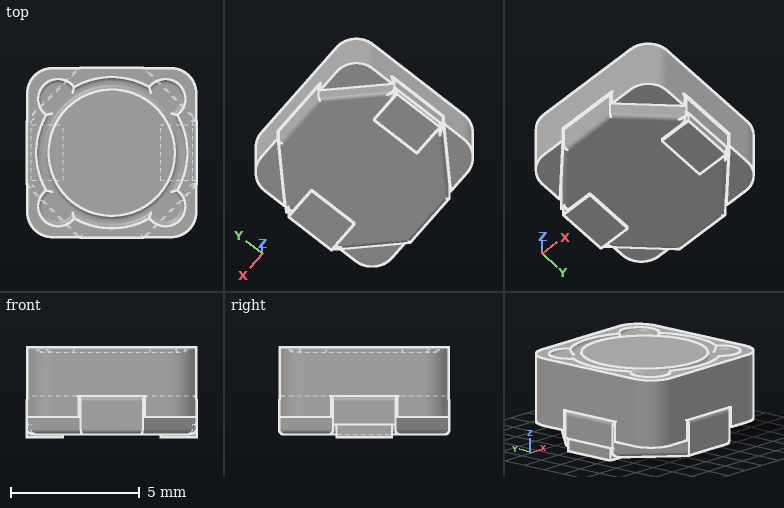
import cadquery as cq
import math

overall_size = 6.62
overall_height = 3.5
shell_size = 6.58
shell_corner_radius = 1.0
shell_bottom = 0.795
round_radius = 0.205

base_bottom = 0.1
base_top = 1.61
flat_width = 2.41
pocket_clearance = 0.05

notch_depth = 0.18
notch_top = 0.5
terminal_width = 2.17
terminal_reach = 1.41

disc_radius = 2.455
ring_radius = 2.94
corner_bowl_radius = 0.775
corner_bowl_offset = 2.085
bowl_depth = round_radius

half_size = overall_size / 2
half_flat = flat_width / 2
bowl_floor = overall_height - bowl_depth


def octagon_prism(half_across, half_side, bottom, top):
    """Square prism with 45 degree cut corners; half_side is half of each outer face."""
    cut = half_across - half_side
    return (
        cq.Workplane("XY")
        .workplane(offset=bottom)
        .rect(2 * half_across, 2 * half_across)
        .extrude(top - bottom)
        .edges("|Z")
        .chamfer(cut)
    )


def round_walled_solid(top_radius, floor_radius):
    """Solid of revolution from bowl floor to shell top, with a quarter-round wall.

    The wall flares outward to a wider top (a bowl) or outward to a wider floor (a disc's foot).
    """
    quarter_mid = math.sqrt(0.5)
    wall_middle = (
        floor_radius + (top_radius - floor_radius) * quarter_mid,
        overall_height - bowl_depth * quarter_mid,
    )
    return (
        cq.Workplane("XZ")
        .moveTo(0, bowl_floor)
        .lineTo(floor_radius, bowl_floor)
        .threePointArc(wall_middle, (top_radius, overall_height))
        .lineTo(0, overall_height)
        .close()
        .revolve(360, (0, 0, 0), (0, 1, 0))
    )


def top_recess():
    """Ring groove joined with four corner bowls, leaving the disc standing."""
    recess = round_walled_solid(ring_radius, ring_radius - bowl_depth)
    bowl = round_walled_solid(corner_bowl_radius, corner_bowl_radius - bowl_depth)
    for x_side in (-1, 1):
        for y_side in (-1, 1):
            recess = recess.union(bowl.translate((x_side * corner_bowl_offset, y_side * corner_bowl_offset, 0)))
    disc = round_walled_solid(disc_radius, disc_radius + bowl_depth)
    return recess.cut(disc)


def make_shell():
    block = (
        cq.Workplane("XY")
        .workplane(offset=shell_bottom)
        .rect(shell_size, shell_size)
        .extrude(overall_height - shell_bottom)
        .edges("|Z")
        .fillet(shell_corner_radius)
    )
    side_growth = pocket_clearance * math.sqrt(2)
    pocket = octagon_prism(half_size, half_flat + side_growth, shell_bottom, base_top)
    return block.cut(pocket).cut(top_recess())


def notch_surround():
    """Oversize block with both terminal notches, their lower rims rounded."""
    block_length = 2 * overall_size
    notch_floor = half_size - notch_depth
    notch_length = block_length / 2 - notch_floor
    block = (
        cq.Workplane("XY")
        .workplane(offset=base_bottom)
        .rect(block_length, block_length)
        .extrude(base_top - base_bottom)
    )
    for side in (-1, 1):
        notch = (
            cq.Workplane("XY")
            .workplane(offset=base_bottom)
            .center(side * (notch_floor + notch_length / 2), 0)
            .rect(notch_length, flat_width)
            .extrude(notch_top - base_bottom)
        )
        block = block.cut(notch)
    notch_rims = cq.selectors.BoxSelector(
        (-block_length, -half_flat - round_radius, base_bottom - round_radius / 2),
        (block_length, half_flat + round_radius, base_bottom + round_radius / 2),
    )
    return block.faces("<Z").edges(notch_rims).fillet(round_radius)


def make_base():
    base = octagon_prism(half_size, half_flat, base_bottom, base_top)
    base = base.faces(">Z").edges("|X or |Y").fillet(round_radius)
    base = base.faces("<Z").edges("not |Y").fillet(round_radius)
    return base.intersect(notch_surround())


def make_terminal(side):
    """L-shaped terminal: upright in the base's notch and foot under the base."""
    inner_face = half_size - notch_depth
    arc_centre_x = inner_face - round_radius
    arc_centre_z = base_bottom + round_radius
    swing = round_radius * math.sqrt(0.5)
    profile = (
        cq.Workplane("XZ")
        .moveTo(half_size, 0)
        .lineTo(half_size, notch_top)
        .lineTo(inner_face, notch_top)
        .lineTo(inner_face, arc_centre_z)
        .threePointArc((arc_centre_x + swing, arc_centre_z - swing), (arc_centre_x, base_bottom))
        .lineTo(half_size - terminal_reach, base_bottom)
        .lineTo(half_size - terminal_reach, 0)
        .close()
    )
    terminal = profile.extrude(terminal_width / 2, both=True)
    return terminal if side > 0 else terminal.mirror("YZ")


shell = make_shell()
base = make_base()
terminals = [make_terminal(side) for side in (-1, 1)]

result = cq.Compound.makeCompound(
    [shell.val(), base.val(), *[terminal.val() for terminal in terminals]]
)